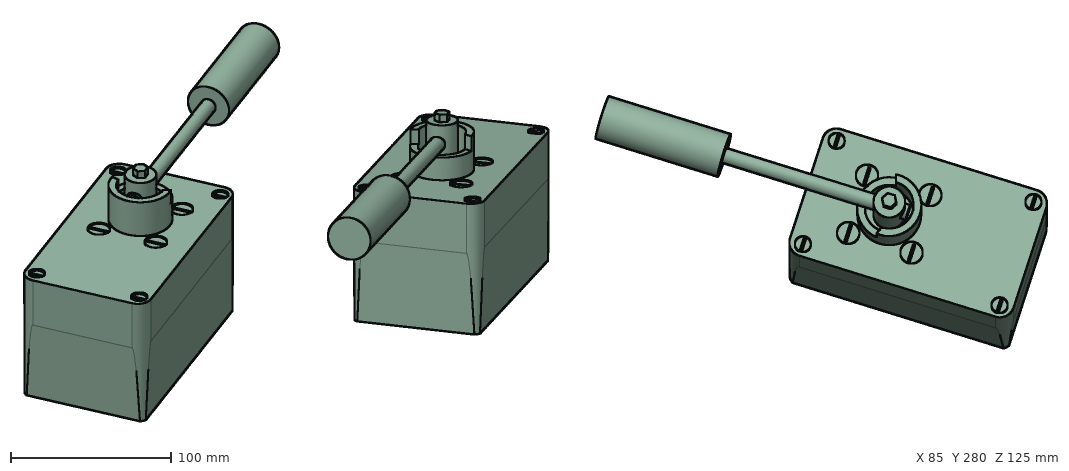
import cadquery as cq
import math


BOX_WIDTH = 85.0
BOX_LENGTH = 146.5
BOX_HEIGHT = 87.0
BOX_FRONT = -92.0
BOX_CENTER_Y = BOX_FRONT + BOX_LENGTH / 2
CORNER_RADIUS = 9.0
SIDE_TAPER_DROP = 31.0
END_TAPER_DROP = 33.0
TAPER_INSET = 1.5

CORNER_SCREW_X = 34.7
CORNER_SCREW_Y = 64.5
CORNER_SCREW_RADIUS = 5.0
CORNER_SCREW_SINK = 1.5
BOSS_SCREW_X = 19.3
BOSS_SCREW_Y = 20.7
BOSS_SCREW_RADIUS = 7.0
BOSS_SCREW_SINK = 0.8
BOSS_SCREW_SLOT_LENGTH = 11.0
SLOT_WIDTH = 1.5
SLOT_DEPTH = 1.0

OVERALL_LENGTH = 280
OVERALL_HEIGHT = 125.0
LEVER_END = OVERALL_LENGTH + BOX_FRONT
ROD_DIAMETER = 9.8
ROD_RADIUS = ROD_DIAMETER / 2
ROD_TAIL = 12.3
GRIP_RADIUS = 14.0
GRIP_LENGTH = 79.8
HUB_DIAMETER = 20.0
HEX_SIDES = 6
HEX_HEIGHT = 5.0
HEX_ACROSS_FLATS = 8.0

BOSS_DIAMETER = 40.0
BOSS_RADIUS = BOSS_DIAMETER / 2
BORE_RADIUS = 15.0
BOSS_HEIGHT = 25.0
BOSS_TOP = BOX_HEIGHT + BOSS_HEIGHT
NOTCH_DEPTH = ROD_DIAMETER
SWING_ANGLE = 70

ROD_AXIS_Z = BOSS_TOP - ROD_RADIUS
HUB_TOP = OVERALL_HEIGHT - HEX_HEIGHT


def make_box():
    """Round-cornered block whose four faces taper inward toward the underside."""
    box = (
        cq.Workplane("XY")
        .rect(BOX_WIDTH, BOX_LENGTH)
        .extrude(BOX_HEIGHT)
        .edges("|Z")
        .fillet(CORNER_RADIUS)
    )
    side_limits = tapered_prism("XZ", BOX_WIDTH, SIDE_TAPER_DROP, BOX_LENGTH)
    end_limits = tapered_prism("YZ", BOX_LENGTH, END_TAPER_DROP, BOX_WIDTH)
    return box.intersect(side_limits).intersect(end_limits).translate((0, BOX_CENTER_Y, 0))


def tapered_prism(plane, width, taper_drop, depth):
    """Straight-topped profile that narrows to the underside, extruded through the box."""
    half = width / 2
    taper_start = BOX_HEIGHT - taper_drop
    return (
        cq.Workplane(plane)
        .polyline([
            (-half, BOX_HEIGHT),
            (half, BOX_HEIGHT),
            (half, taper_start),
            (half - TAPER_INSET, 0),
            (-half + TAPER_INSET, 0),
            (-half, taper_start),
        ])
        .close()
        .extrude(depth / 2, both=True)
    )


def screw_cut(x, y, radius, sink, slot_length):
    """Sunken round head with a driver slot along X."""
    lid = cq.Workplane("XY", origin=(x, y, BOX_HEIGHT))
    slot_floor = -sink - SLOT_DEPTH
    head = lid.circle(radius).extrude(-sink)
    slot = lid.rect(slot_length, SLOT_WIDTH).extrude(slot_floor)
    slot_limit = lid.circle(radius).extrude(slot_floor)
    return head.union(slot.intersect(slot_limit))


def lever_notch():
    """Clearance for the rod at the back of the boss, over the whole swing of the lever."""
    wall_slope = math.tan(math.radians(90 - SWING_ANGLE))
    wall_y = -ROD_RADIUS / math.sin(math.radians(SWING_ANGLE))
    reach = 2 * BOSS_RADIUS
    end_y = wall_y + reach * wall_slope
    return (
        cq.Workplane("XY", origin=(0, 0, BOSS_TOP - NOTCH_DEPTH))
        .polyline([(0, wall_y), (reach, end_y), (reach, reach), (-reach, reach), (-reach, end_y)])
        .close()
        .extrude(NOTCH_DEPTH)
    )


def make_boss():
    """Ring on the lid that surrounds the hub."""
    ring = (
        cq.Workplane("XY", origin=(0, 0, BOX_HEIGHT))
        .circle(BOSS_RADIUS)
        .circle(BORE_RADIUS)
        .extrude(BOSS_HEIGHT)
    )
    return ring.cut(lever_notch())


def make_housing():
    housing = make_box().union(make_boss())
    for side_x in (-1, 1):
        for side_y in (-1, 1):
            corner_screw = screw_cut(
                side_x * CORNER_SCREW_X,
                BOX_CENTER_Y + side_y * CORNER_SCREW_Y,
                CORNER_SCREW_RADIUS,
                CORNER_SCREW_SINK,
                2 * CORNER_SCREW_RADIUS,
            )
            boss_screw = screw_cut(
                side_x * BOSS_SCREW_X,
                side_y * BOSS_SCREW_Y,
                BOSS_SCREW_RADIUS,
                BOSS_SCREW_SINK,
                BOSS_SCREW_SLOT_LENGTH,
            )
            housing = housing.cut(corner_screw).cut(boss_screw)
    return housing


def cylinder_along_y(radius, start_y, end_y):
    """Cylinder on the rod axis."""
    return (
        cq.Workplane("XZ", origin=(0, start_y, ROD_AXIS_Z))
        .circle(radius)
        .extrude(start_y - end_y)
    )


def make_lever():
    """Hub standing in the boss, with its hexagon, rod and grip."""
    hub = (
        cq.Workplane("XY", origin=(0, 0, BOX_HEIGHT))
        .circle(HUB_DIAMETER / 2)
        .extrude(HUB_TOP - BOX_HEIGHT)
    )
    hexagon = (
        cq.Workplane("XY", origin=(0, 0, HUB_TOP))
        .transformed(rotate=(0, 0, 90))
        .polygon(HEX_SIDES, HEX_ACROSS_FLATS / math.cos(math.pi / HEX_SIDES))
        .extrude(HEX_HEIGHT)
    )
    grip_start = LEVER_END - GRIP_LENGTH
    rod = cylinder_along_y(ROD_RADIUS, -ROD_TAIL, grip_start)
    grip = cylinder_along_y(GRIP_RADIUS, grip_start, LEVER_END)
    return hub.union(hexagon).union(rod).union(grip)


housing = make_housing()
lever = make_lever()

result = cq.Compound.makeCompound([housing.val(), lever.val()])